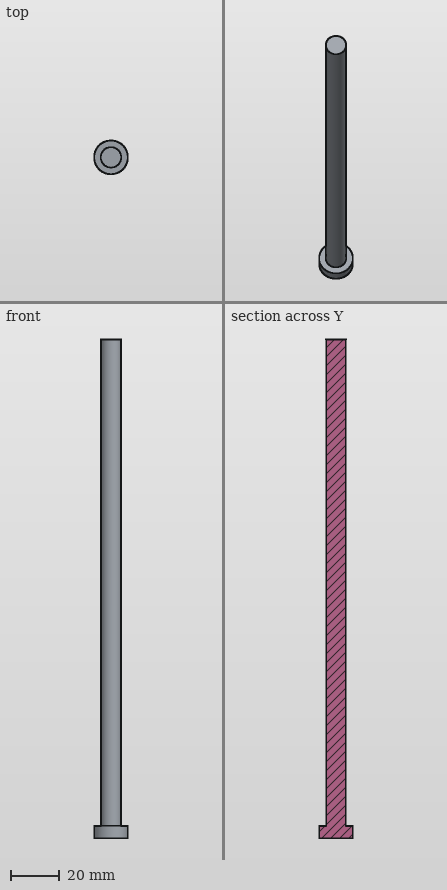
import cadquery as cq

total_length = 205.0
head_diameter = 14.0
head_height = 5.1
shank_diameter = 8.5

shank_length = total_length - head_height

head = cq.Workplane("XY").circle(head_diameter / 2).extrude(head_height)
result = head.faces(">Z").workplane().circle(shank_diameter / 2).extrude(shank_length)